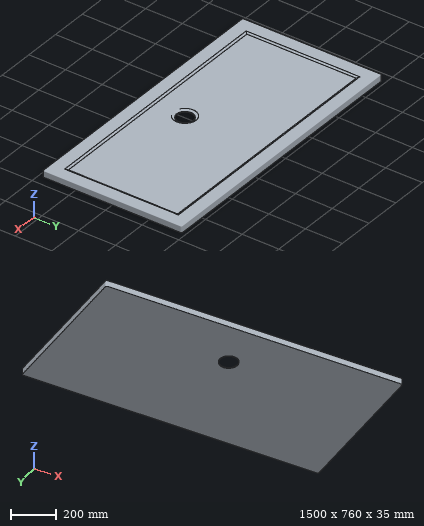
import cadquery as cq
import math

length = 1500.0
width = 760.0
height = 35.0
corner_radius = 8.0
edge_round = 3.0

lip_width = 5.0
rim_width = 70.0
rim_drop = 3.0
wall_run = 12.0
wall_drop = 6.0

drain_y = -148.0
seat_radius = 60.0
hole_radius = 45.0
seat_top_z = 10.0
seat_bottom_z = 5.0
crease_angle = 30.0
side_crease_y = 20.0

rim_inner_z = height - rim_drop
floor_edge_z = rim_inner_z - wall_drop
floor_inset = rim_width + wall_run


def rectangle_corners(inset, z):
    """Counterclockwise corners of the tray outline moved inward, from the +X +Y corner."""
    x = length / 2 - inset
    y = width / 2 - inset
    return [cq.Vector(x, y, z), cq.Vector(-x, y, z), cq.Vector(-x, -y, z), cq.Vector(x, -y, z)]


def sloped_band(outer, inner):
    """Four mitred flat faces between two rectangles."""
    faces = []
    for i in range(4):
        j = (i + 1) % 4
        outline = cq.Wire.makePolygon([outer[i], outer[j], inner[j], inner[i]], close=True)
        faces.append(cq.Face.makeFromWires(outline))
    return faces


def seat_point(angle):
    """Point on the top circle of the drain seat."""
    turn = math.radians(angle)
    return cq.Vector(seat_radius * math.cos(turn), drain_y + seat_radius * math.sin(turn), seat_top_z)


def floor_panel(start, end, start_angle, end_angle):
    """Ruled face falling from a straight floor edge to an arc of the drain seat."""
    middle = seat_point((start_angle + end_angle) / 2)
    arc = cq.Edge.makeThreePointArc(seat_point(start_angle), middle, seat_point(end_angle))
    return cq.Face.makeRuledSurface(cq.Edge.makeLine(start, end), arc)


def basin():
    """Closed volume above the rim slope, the wall and the floor."""
    lip = rectangle_corners(lip_width, height)
    rim = rectangle_corners(rim_width, rim_inner_z)
    floor = rectangle_corners(floor_inset, floor_edge_z)
    right_crease = cq.Vector(floor[0].x, side_crease_y, floor_edge_z)
    left_crease = cq.Vector(floor[1].x, side_crease_y, floor_edge_z)

    floor_points = [right_crease, floor[0], floor[1], left_crease, floor[2], floor[3]]
    angles = [0, crease_angle, 180 - crease_angle, 180, 180 + crease_angle, 360 - crease_angle, 360]

    faces = [cq.Face.makeFromWires(cq.Wire.makePolygon(lip, close=True))]
    faces += sloped_band(lip, rim)
    faces += sloped_band(rim, floor)
    for i, start in enumerate(floor_points):
        end = floor_points[(i + 1) % len(floor_points)]
        faces.append(floor_panel(start, end, angles[i], angles[i + 1]))
    seat_circle = cq.Wire.assembleEdges([
        cq.Edge.makeThreePointArc(seat_point(a), seat_point((a + b) / 2), seat_point(b))
        for a, b in zip(angles, angles[1:])
    ])
    faces.append(cq.Face.makeFromWires(seat_circle))
    return cq.Solid.makeSolid(cq.Shell.makeShell(faces)).fix()


def drain():
    """Conical seat joined to the through hole below it."""
    profile = [
        (0, 0),
        (hole_radius, 0),
        (hole_radius, seat_bottom_z),
        (seat_radius, seat_top_z),
        (0, seat_top_z),
    ]
    cutter = cq.Workplane("XZ").polyline(profile).close().revolve(360, (0, 0), (0, 1))
    return cutter.translate((0, drain_y, 0))


body = cq.Workplane("XY").rect(length, width).extrude(height)
body = body.edges("|Z").fillet(corner_radius)
body = body.faces(">Z").edges().fillet(edge_round)

tray = body.cut(cq.Workplane(obj=basin())).cut(drain())
result = cq.Workplane(obj=tray.solids().val())